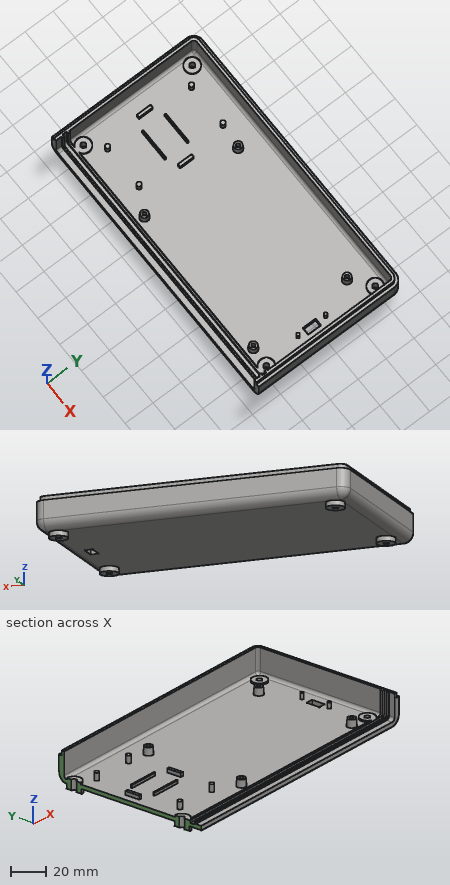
import cadquery as cq
LENGTH = 190.0
DEPTH = 103.0
HEIGHT = 23.0

FOOT_HEIGHT = 3.0
FLOOR_THICKNESS = 3.0
WALL_THICKNESS = 4.0
OUTER_RADIUS = 6.0
INNER_RADIUS = OUTER_RADIUS - WALL_THICKNESS
LIP_HEIGHT = 3.0
LIP_SETBACK = 2.0
FLOOR_Z = FOOT_HEIGHT + FLOOR_THICKNESS
SHOULDER_Z = HEIGHT - LIP_HEIGHT

RIB_HEIGHT = 1.0
RIB_RADIUS = 1.3
GROOVE_DEPTH = 0.5
GROOVE_RADIUS = 2.8
FRONT_RIB_START = 4.0
GROOVE_START = 5.3
GROOVE_END = 8.0
REAR_RIB_END = 9.5

FOOT_DIAMETER = 11.0
FOOT_PAD_DIAMETER = 10.0
FOOT_HOLE_DIAMETER = 3.5
FOOT_INSET = 11.0
FOOT_SPACING_Y = 77.9

STANDOFF_HEIGHT = 5.0
STANDOFF_BASE_DIAMETER = 6.0
STANDOFF_TOP_DIAMETER = 5.1
STANDOFF_HOLE_DIAMETER = 2.5
STANDOFF_CENTER = (20.9, 48.5)
STANDOFF_SPACING = (100.0, 67.0)

BATTERY_CENTER = (-59.5, 53.5)
PIN_DIAMETER = 3.0
PIN_HEIGHT = 5.0
PIN_SPACING = (28.9, 60.0)
STOP_SIZE = (2.0, 9.9, 2.5)
STOP_SPACING_X = 37.6
RAIL_SIZE = (21.0, 1.0, 1.9)
RAIL_SPACING_Y = 16.2

SWITCH_CENTER = (81.0, 49.0)
SWITCH_WINDOW = (5.0, 9.1)
SWITCH_PIN_DIAMETER = 2.0
SWITCH_PIN_HEIGHT = 4.0
SWITCH_PIN_SPACING_Y = 19.8


def pair_along_y(center, spacing):
    x, y = center
    return [(x, y - spacing / 2), (x, y + spacing / 2)]


def rectangle_corners(center, spacing):
    x, y = center
    dx, dy = spacing
    return [(x + sx * dx / 2, y + sy * dy / 2) for sx in (-1, 1) for sy in (-1, 1)]


def box(width, y_start, y_end, z_bottom, z_top):
    """Box centred on X, between the given Y and Z limits."""
    return (
        cq.Workplane("XY", origin=(0, (y_start + y_end) / 2, z_bottom))
        .rect(width, y_end - y_start)
        .extrude(z_top - z_bottom)
    )


def cylinders(points, diameter, z_bottom, height):
    return (
        cq.Workplane("XY", origin=(0, 0, z_bottom))
        .pushPoints(points)
        .circle(diameter / 2)
        .extrude(height)
    )


def blocks(points, size):
    """Rectangular blocks standing on the floor."""
    width, depth, height = size
    return (
        cq.Workplane("XY", origin=(0, 0, FLOOR_Z))
        .pushPoints(points)
        .rect(width, depth)
        .extrude(height)
    )


def outer_block():
    """Solid outside shape: rounded tray with a set-back lip on the side and rear walls."""
    tray = box(LENGTH, 0, DEPTH, FOOT_HEIGHT, SHOULDER_Z)
    tray = tray.edges("|Z and >Y").fillet(OUTER_RADIUS)
    tray = tray.faces("<Z").edges("not <Y").fillet(OUTER_RADIUS)
    lip = box(LENGTH - 2 * LIP_SETBACK, 0, DEPTH - LIP_SETBACK, FLOOR_Z + OUTER_RADIUS, HEIGHT)
    lip = lip.edges("|Z and >Y").fillet(OUTER_RADIUS - LIP_SETBACK)
    return tray.union(lip)


def channel(y_start, y_end, growth, radius):
    """Open-topped U-shaped space whose walls and floor lie outside the room by `growth`."""
    width = LENGTH - 2 * WALL_THICKNESS + 2 * growth
    space = box(width, y_start, y_end, FLOOR_Z - growth, HEIGHT)
    return space.edges("|Y and <Z").fillet(radius)


def room():
    """Main space behind the panel slot, rounded at the floor and the rear corners."""
    width = LENGTH - 2 * WALL_THICKNESS
    space = box(width, REAR_RIB_END, DEPTH - WALL_THICKNESS, FLOOR_Z, HEIGHT)
    space = space.edges("|Z and >Y").fillet(INNER_RADIUS)
    return space.faces("<Z").edges("not <Y").fillet(INNER_RADIUS)


def shell():
    body = outer_block().cut(room())
    body = body.cut(channel(0, FRONT_RIB_START, 0, INNER_RADIUS))
    body = body.cut(channel(FRONT_RIB_START, REAR_RIB_END, -RIB_HEIGHT, RIB_RADIUS))
    return body.cut(channel(GROOVE_START, GROOVE_END, GROOVE_DEPTH, GROOVE_RADIUS))


def add_feet(body):
    center_y = DEPTH - FOOT_INSET - FOOT_SPACING_Y / 2
    points = rectangle_corners((0, center_y), (LENGTH - 2 * FOOT_INSET, FOOT_SPACING_Y))
    pad_top = FLOOR_Z + RIB_HEIGHT
    body = body.union(cylinders(points, FOOT_DIAMETER, 0, FLOOR_Z))
    pads = cylinders(points, FOOT_PAD_DIAMETER, FOOT_HEIGHT, pad_top - FOOT_HEIGHT)
    body = body.union(pads)
    return body.cut(cylinders(points, FOOT_HOLE_DIAMETER, 0, pad_top))


def add_standoffs(body):
    points = rectangle_corners(STANDOFF_CENTER, STANDOFF_SPACING)
    for x, y in points:
        post = (
            cq.Workplane("XY", origin=(x, y, FLOOR_Z))
            .circle(STANDOFF_BASE_DIAMETER / 2)
            .workplane(offset=STANDOFF_HEIGHT)
            .circle(STANDOFF_TOP_DIAMETER / 2)
            .loft()
        )
        body = body.union(post)
    return body.cut(cylinders(points, STANDOFF_HOLE_DIAMETER, FLOOR_Z, STANDOFF_HEIGHT))


def add_battery_holder(body):
    x, y = BATTERY_CENTER
    pins = rectangle_corners(BATTERY_CENTER, PIN_SPACING)
    stops = [(x - STOP_SPACING_X / 2, y), (x + STOP_SPACING_X / 2, y)]
    rails = pair_along_y(BATTERY_CENTER, RAIL_SPACING_Y)
    body = body.union(cylinders(pins, PIN_DIAMETER, FLOOR_Z, PIN_HEIGHT))
    body = body.union(blocks(stops, STOP_SIZE))
    return body.union(blocks(rails, RAIL_SIZE))


def add_switch_mount(body):
    pins = pair_along_y(SWITCH_CENTER, SWITCH_PIN_SPACING_Y)
    body = body.union(cylinders(pins, SWITCH_PIN_DIAMETER, FLOOR_Z, SWITCH_PIN_HEIGHT))
    window = (
        cq.Workplane("XY", origin=(*SWITCH_CENTER, FOOT_HEIGHT))
        .rect(*SWITCH_WINDOW)
        .extrude(FLOOR_THICKNESS)
    )
    return body.cut(window)


result = shell()
result = add_feet(result)
result = add_standoffs(result)
result = add_battery_holder(result)
result = add_switch_mount(result)